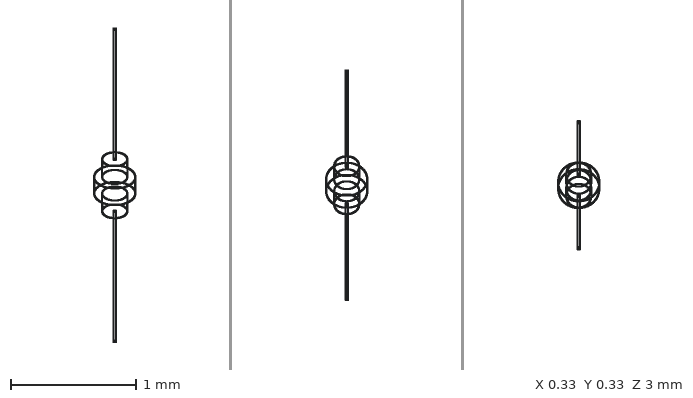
import cadquery as cq

wire_length = 3.0
wire_diameter = 0.02
body_length = 0.5
body_diameter = 0.2
flange_thickness = 0.16
flange_diameter = 0.33


def centred_cylinder(diameter, length):
    """Cylinder along Z, centred on the origin."""
    return cq.Workplane("XY").cylinder(length, diameter / 2)


wire = centred_cylinder(wire_diameter, wire_length)
body = centred_cylinder(body_diameter, body_length)
flange = centred_cylinder(flange_diameter, flange_thickness)

result = body.union(flange).union(wire)